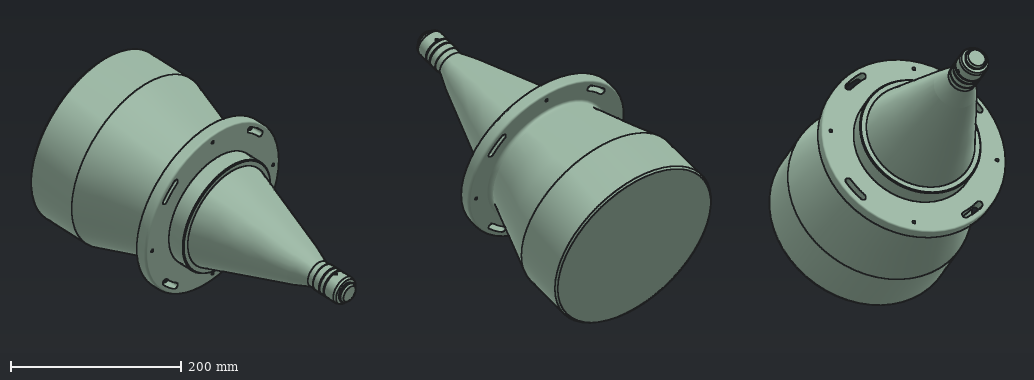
import cadquery as cq
import math

drum_end = 67.7
front_cone_end = 165.2
root_fillet_start = 167.0
flange_start = 171.0
flange_end = 187.3
hub_end = 210.5
rear_cone_break = 332.5
neck_start = 356.5
neck_end = 365.0
nozzle_end = 402.0
lip_start = 404.7
total_length = 408.0

body_radius = 115.0
front_cone_end_radius = 83.2
hub_radius = 75.5
rear_cone_radius = 67.7
rear_cone_break_radius = 27.0
neck_radius = 17.0
nozzle_radius = 18.0
pilot_radius = 12.2
lip_radius = 13.5

drum_chamfer = 2.5
rim_fillet = 3.0
hub_chamfer = 1.2
root_fillet = flange_start - root_fillet_start
nozzle_chamfer_length = 3.5
nozzle_chamfer_height = 1.2
lip_chamfer = 3.0

pitch_radius = 103.5
opening_count = 4
slot_width = 7.8
slot_half_angle = 7
pin_hole_diameter = 3.5

groove_starts = (375.0, 382.5)
groove_width = 1.2
groove_depth = 0.5
vent_station = 385.5
vent_diameter = 3.3
vent_depth = 2.0
vent_count = 3


def turned_body():
    """Revolve the half profile about the X axis."""
    rim_inset = rim_fillet * (1 - math.sqrt(0.5))
    fillet_mid = root_fillet * math.sqrt(0.5)
    fillet_top = front_cone_end_radius + root_fillet
    profile = (
        cq.Workplane("XY")
        .moveTo(0, 0)
        .lineTo(0, body_radius - drum_chamfer)
        .lineTo(drum_chamfer, body_radius)
        .lineTo(drum_end, body_radius)
        .lineTo(front_cone_end, front_cone_end_radius)
        .lineTo(root_fillet_start, front_cone_end_radius)
        .threePointArc(
            (root_fillet_start + fillet_mid, fillet_top - fillet_mid),
            (flange_start, fillet_top),
        )
        .lineTo(flange_start, body_radius - rim_fillet)
        .threePointArc(
            (flange_start + rim_inset, body_radius - rim_inset),
            (flange_start + rim_fillet, body_radius),
        )
        .lineTo(flange_end - rim_fillet, body_radius)
        .threePointArc(
            (flange_end - rim_inset, body_radius - rim_inset),
            (flange_end, body_radius - rim_fillet),
        )
        .lineTo(flange_end, hub_radius)
        .lineTo(hub_end - hub_chamfer, hub_radius)
        .lineTo(hub_end, hub_radius - hub_chamfer)
        .lineTo(hub_end, rear_cone_radius)
        .lineTo(rear_cone_break, rear_cone_break_radius)
        .lineTo(neck_start, neck_radius)
        .lineTo(neck_end, neck_radius)
        .lineTo(neck_end, nozzle_radius)
        .lineTo(nozzle_end - nozzle_chamfer_length, nozzle_radius)
        .lineTo(nozzle_end, nozzle_radius - nozzle_chamfer_height)
        .lineTo(nozzle_end, pilot_radius)
        .lineTo(lip_start, pilot_radius)
        .lineTo(lip_start, lip_radius)
        .lineTo(total_length - lip_chamfer, lip_radius)
        .lineTo(total_length, lip_radius - lip_chamfer)
        .lineTo(total_length, 0)
        .close()
    )
    return profile.revolve(360, (0, 0, 0), (1, 0, 0))


def on_circle(radius, angle):
    """Return the (Y, Z) point at an angle in degrees from +Y."""
    turn = math.radians(angle)
    return (radius * math.cos(turn), radius * math.sin(turn))


def flange_slot(angle):
    """Curved slot through the flange, centred on the given angle."""
    inner = pitch_radius - slot_width / 2
    outer = pitch_radius + slot_width / 2
    first = angle - slot_half_angle
    last = angle + slot_half_angle
    end_angle = math.degrees(slot_width / 2 / pitch_radius)
    return (
        cq.Workplane("YZ", origin=(flange_start, 0, 0))
        .moveTo(*on_circle(inner, first))
        .threePointArc(on_circle(inner, angle), on_circle(inner, last))
        .threePointArc(on_circle(pitch_radius, last + end_angle), on_circle(outer, last))
        .threePointArc(on_circle(outer, angle), on_circle(outer, first))
        .threePointArc(on_circle(pitch_radius, first - end_angle), on_circle(inner, first))
        .close()
        .extrude(flange_end - flange_start)
    )


def flange_pin_hole(angle):
    """Small round hole through the flange."""
    return (
        cq.Workplane("YZ", origin=(flange_start, 0, 0))
        .center(*on_circle(pitch_radius, angle))
        .circle(pin_hole_diameter / 2)
        .extrude(flange_end - flange_start)
    )


def nozzle_groove(start):
    """Shallow ring groove around the nozzle."""
    return (
        cq.Workplane("YZ", origin=(start, 0, 0))
        .circle(nozzle_radius + groove_depth)
        .circle(nozzle_radius - groove_depth)
        .extrude(groove_width)
    )


def nozzle_vent(angle):
    """Blind radial hole in the nozzle, turned about X from +Z."""
    return (
        cq.Workplane("XY", origin=(vent_station, 0, nozzle_radius - vent_depth))
        .circle(vent_diameter / 2)
        .extrude(2 * vent_depth)
        .rotate((0, 0, 0), (1, 0, 0), angle)
    )


result = turned_body()

opening_step = 360 / opening_count
for index in range(opening_count):
    hole_angle = index * opening_step
    result = result.cut(flange_pin_hole(hole_angle))
    result = result.cut(flange_slot(hole_angle + opening_step / 2))

for groove_start in groove_starts:
    result = result.cut(nozzle_groove(groove_start))

for index in range(vent_count):
    result = result.cut(nozzle_vent(index * 360 / vent_count))